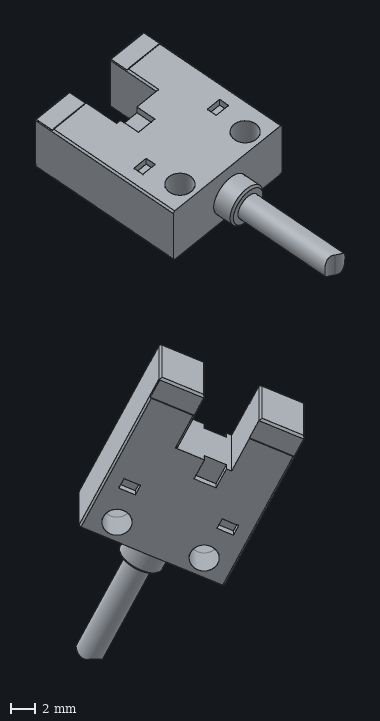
import cadquery as cq

housing_length = 15.72
housing_width = 13.4
housing_height = 6.0
edge_chamfer = 0.182

slot_depth = 5.5
slot_width = 5.0

tip_length = 2.05
tip_step = 0.1
tip_chamfer = 0.21

hole_diameter = 2.5
hole_x = 14.02
hole_spacing = 8.02

pocket_depth = 0.7
slot_pocket_size = 2.02
window_length = 1.0
window_width = 1.5
window_start = 9.98
window_spacing = 9.03

total_length = 28.03
collar_gap = 0.25
collar_length = 2.05
collar_diameter = 4.0
collar_chamfer = 0.2
cable_diameter = 2.5
break_wave = 0.22

half_height = housing_height / 2
half_slot = slot_width / 2
arm_width = (housing_width - slot_width) / 2
arm_offset = (housing_width + slot_width) / 4


def block(x_start, length, y_center, width, z_center, height):
    """Box that starts at x_start and is centred on y_center and z_center."""
    box = cq.Workplane("XY").box(length, width, height, centered=(False, True, True))
    return box.translate((x_start, y_center, z_center))


def make_blank():
    """Housing block with its long edges chamfered."""
    blank = block(0, housing_length, 0, housing_width, 0, housing_height)
    return blank.edges("|X").chamfer(edge_chamfer)


def cut_slot(body):
    """Cut the sensing slot and bevel its long edges on the +Y arm, top and bottom."""
    slotted = body.cut(block(0, slot_depth, 0, slot_width, 0, housing_height))
    for side in (1, -1):
        face_z = side * half_height
        bevel = (
            cq.Workplane("YZ")
            .moveTo(half_slot, face_z)
            .lineTo(half_slot + edge_chamfer, face_z)
            .lineTo(half_slot, face_z - side * edge_chamfer)
            .close()
            .extrude(slot_depth)
        )
        slotted = slotted.cut(bevel)
    return slotted


def make_tip_envelope(y_center):
    """Bevelled block that bounds one arm tip."""
    tip = block(0, tip_length, y_center, arm_width, 0, housing_height - 2 * tip_step)
    return tip.faces("<X").chamfer(tip_chamfer)


def shape_tips(body):
    """Thin both arm tips and bevel the edges of their front faces."""
    tip_zone = block(0, tip_length, 0, housing_width, 0, housing_height)
    shaped = body.cut(tip_zone)
    for side in (1, -1):
        tip = body.intersect(make_tip_envelope(side * arm_offset))
        shaped = shaped.union(tip)
    return shaped


def cut_pockets(body):
    """Sink the slot pocket and both windows into the top and bottom faces."""
    for side in (1, -1):
        pocket_z = side * (half_height - pocket_depth / 2)
        slot_pocket = block(
            slot_depth, slot_pocket_size, -slot_pocket_size / 2, slot_pocket_size, pocket_z, pocket_depth
        )
        body = body.cut(slot_pocket)
        for window_y in (-window_spacing / 2, window_spacing / 2):
            window = block(window_start, window_length, window_y, window_width, pocket_z, pocket_depth)
            body = body.cut(window)
    return body


def make_holes():
    """Cylinders for the two mounting holes."""
    return (
        cq.Workplane("XY")
        .pushPoints([(hole_x, -hole_spacing / 2), (hole_x, hole_spacing / 2)])
        .circle(hole_diameter / 2)
        .extrude(half_height, both=True)
    )


def make_housing():
    """Fork-shaped sensor housing."""
    body = cut_slot(make_blank())
    body = shape_tips(body)
    body = cut_pockets(body)
    return body.cut(make_holes())


def make_cable():
    """Cable and collar in one piece, with a wavy break at the free end."""
    collar_x = housing_length + collar_gap
    collar_end = collar_x + collar_length
    cable_radius = cable_diameter / 2
    break_x = total_length - break_wave

    collar = (
        cq.Workplane("YZ", origin=(collar_x, 0, 0))
        .circle(collar_diameter / 2)
        .extrude(collar_length)
        .faces(">X")
        .chamfer(collar_chamfer)
    )
    cord = (
        cq.Workplane("YZ", origin=(collar_end, 0, 0))
        .circle(cable_radius)
        .extrude(total_length - collar_end)
    )
    break_outline = (
        cq.Workplane("XY")
        .moveTo(collar_end, cable_radius)
        .lineTo(break_x, cable_radius)
        .threePointArc((total_length, cable_radius / 2), (break_x, 0))
        .threePointArc((break_x - break_wave, -cable_radius / 2), (break_x, -cable_radius))
        .lineTo(collar_end, -cable_radius)
        .close()
        .extrude(cable_radius, both=True)
    )
    return collar.union(cord.intersect(break_outline))


housing = make_housing()
cable = make_cable()

result = cq.Compound.makeCompound([housing.val(), cable.val()])